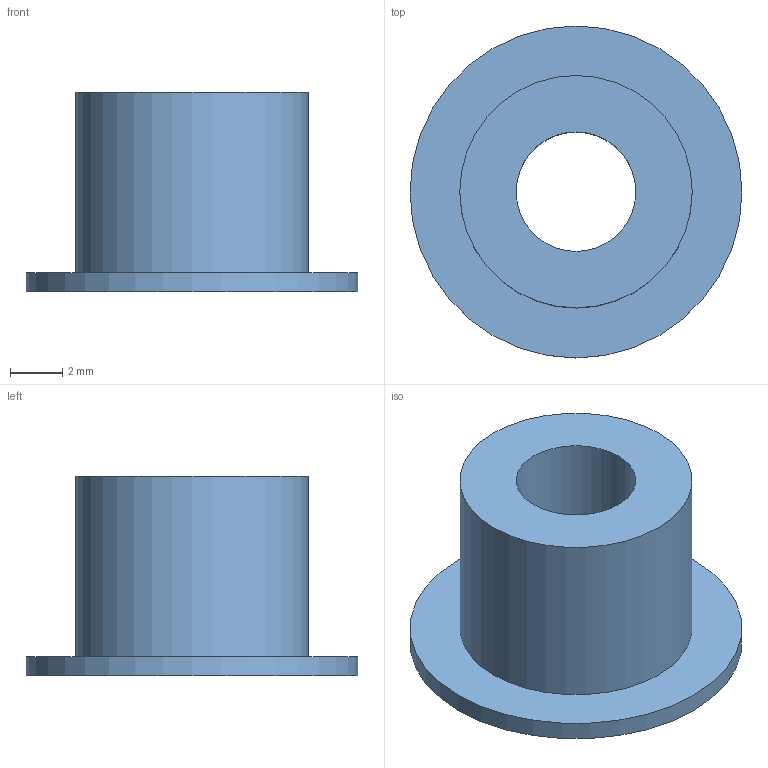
import cadquery as cq

FLANGE_DIAMETER = 12.7
FLANGE_THICKNESS = 0.72
SLEEVE_DIAMETER = 8.89
BORE_DIAMETER = 4.572
TOTAL_HEIGHT = 7.62


def cylinder(diameter, height):
    """Cylinder standing on the XY plane, centred on the Z axis."""
    return cq.Workplane("XY").circle(diameter / 2).extrude(height)


flange = cylinder(FLANGE_DIAMETER, FLANGE_THICKNESS)
sleeve = cylinder(SLEEVE_DIAMETER, TOTAL_HEIGHT)
bore = cylinder(BORE_DIAMETER, TOTAL_HEIGHT)

result = flange.union(sleeve).cut(bore)